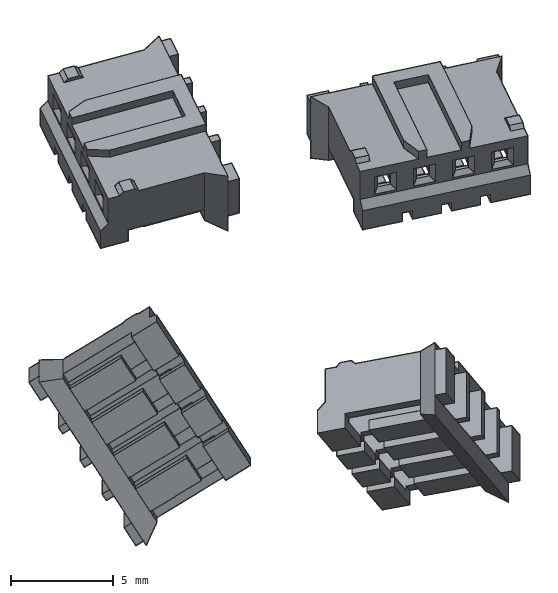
import cadquery as cq


overall_width = 9.8
body_width = 8.6
body_top = 4.0
body_bottom = 1.33
body_front = -6.0
half_body = body_width / 2

flange_depth = 1.0
foot_bottom = 0.54

foot_front = -6.4
foot_back = -4.95
foot_slope_top = 2.19
foot_slope_bottom = 1.78

contact_count = 4
contact_pitch = 2.0
opening_z = 2.88
opening_size = 1.14
passage_size = 0.67
funnel_depth = 0.24

wall_between = 0.39
cavity_width = contact_pitch - wall_between
front_wall = 0.4
cavity_front = body_front + front_wall
cavity_bottom = 1.09
cavity_top = 3.6

tongue_width = 1.35
tongue_front = -3.95

gap_count = contact_count - 1
notch_width = 0.52
notch_top = 1.08

key_top = 4.5
key_width = 3.49
key_nose_width = 2.62
key_nose_start = -5
recess_width = 1.76
recess_rear = -0.75

bump_width = 0.7
bump_top = 4.2
bump_rear = -4.41
bump_front = -5.41
bump_slope = 0.21

tab_depth = 0.6
outer_tab_width = (overall_width - contact_count * contact_pitch + wall_between) / 2


def box(x_center, width, y_front, y_rear, z_low, z_high):
    """Box centred on x_center between the given Y and Z limits."""
    size = (width, y_rear - y_front, z_high - z_low)
    corner = (x_center - width / 2, y_front, z_low)
    return cq.Workplane("XY").box(*size, centered=False).translate(corner)


def side_profile(points, width, x_center=0):
    """Extrude a (Y, Z) outline along X, centred on x_center."""
    profile = cq.Workplane("YZ").polyline(points).close()
    return profile.extrude(width / 2, both=True).translate((x_center, 0, 0))


def row(count):
    """X positions of evenly pitched features, centred on the part."""
    return [(i - (count - 1) / 2) * contact_pitch for i in range(count)]


def housing():
    return side_profile(
        [
            (0, body_top),
            (body_front, body_top),
            (body_front, foot_slope_top),
            (foot_front, foot_slope_bottom),
            (foot_front, foot_bottom),
            (foot_back, foot_bottom),
            (foot_back, body_bottom),
            (0, body_bottom),
        ],
        body_width,
    )


def flange():
    """Block whose sides and underside spread outward towards the rear."""
    plan = (
        cq.Workplane("XY")
        .polyline(
            [
                (-overall_width / 2, 0),
                (overall_width / 2, 0),
                (half_body, -flange_depth),
                (-half_body, -flange_depth),
            ]
        )
        .close()
        .extrude(body_top)
    )
    profile = side_profile(
        [(0, 0), (0, body_top), (-flange_depth, body_top), (-flange_depth, foot_bottom)],
        overall_width,
    )
    return plan.intersect(profile)


def key():
    """Raised key with a tapered nose and a recess open to the front."""
    half_key = key_width / 2
    half_nose = key_nose_width / 2
    block = (
        cq.Workplane("XY", origin=(0, 0, body_top))
        .polyline(
            [
                (-half_key, 0),
                (half_key, 0),
                (half_key, key_nose_start),
                (half_nose, body_front),
                (-half_nose, body_front),
                (-half_key, key_nose_start),
            ]
        )
        .close()
        .extrude(key_top - body_top)
    )
    return block.cut(box(0, recess_width, body_front, recess_rear, body_top, key_top))


def latch_bump(x_center):
    return side_profile(
        [
            (bump_rear, body_top),
            (bump_rear - bump_slope, bump_top),
            (bump_front + bump_slope, bump_top),
            (bump_front, body_top),
        ],
        bump_width,
        x_center,
    )


def contact_opening(x_center):
    """Square passage through the front wall with a tapered lead-in."""
    funnel = (
        cq.Workplane("XZ", origin=(x_center, body_front, opening_z))
        .rect(opening_size, opening_size)
        .workplane(offset=-funnel_depth)
        .rect(passage_size, passage_size)
        .loft()
    )
    passage = (
        cq.Workplane("XZ", origin=(x_center, body_front, opening_z))
        .rect(passage_size, passage_size)
        .extrude(-front_wall)
    )
    return funnel.union(passage)


def cavity(x_center):
    return box(x_center, cavity_width, cavity_front, 0, cavity_bottom, cavity_top)


def tongue(x_center):
    return box(x_center, tongue_width, tongue_front, -flange_depth, foot_bottom, cavity_bottom)


def notch(x_center):
    return box(x_center, notch_width, foot_front, foot_back, foot_bottom, notch_top)


def rear_tab(x_center, width):
    return box(x_center, width, 0, tab_depth, cavity_bottom, cavity_top)


result = housing().union(flange()).union(key())

for side in (-1, 1):
    result = result.union(latch_bump(side * (half_body - bump_width / 2)))
    result = result.union(rear_tab(side * (overall_width - outer_tab_width) / 2, outer_tab_width))

for x in row(gap_count):
    result = result.union(rear_tab(x, wall_between))
    result = result.cut(notch(x))

for x in row(contact_count):
    result = result.union(tongue(x))
    result = result.cut(cavity(x))
    result = result.cut(contact_opening(x))